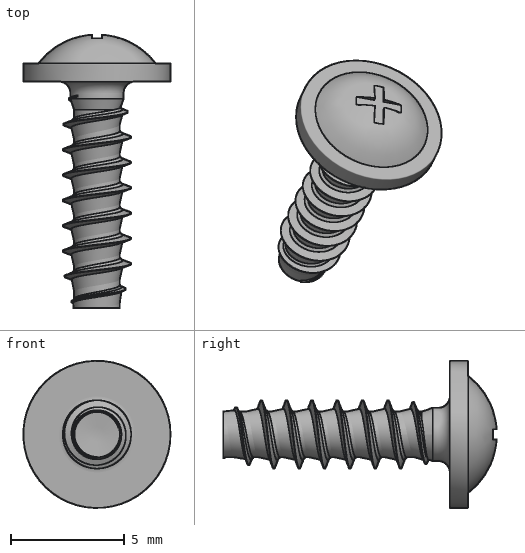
import cadquery as cq
import math


total_length = 12.07
flange_diameter = 6.5
flange_thickness = 0.81
flange_edge_radius = 0.05
dome_height = 1.27
dome_radius = 3.26
slot_width = 0.43
slot_depth = 0.16
slot_corner_radius = slot_width / math.sqrt(2)
apex_height = dome_height + dome_radius - math.sqrt(dome_radius**2 - slot_corner_radius**2)

neck_radius = 1.18
neck_end = 0.75
neck_fillet = 0.5
taper_end = 1.23
core_radius = 1.01
tip_hollow_depth = 0.08
shank_length = total_length - flange_thickness - dome_height

thread_start = 0.63
thread_end = shank_length
thread_turns = 8.375
pitch = (thread_end - thread_start) / thread_turns
thread_start_angle = 135.0
run_in_turns = 1.2
run_out_turns = 1.5
full_turns = thread_turns - run_in_turns - run_out_turns
buried_depth = 0.02
buried_radius = core_radius - buried_depth


def ridge_section(crest_radius, crest_half_width, base_radius, base_half_width, foot_length, groove_length):
    """Ridge outline from the head side to the tip side, as (axial distance from the crest, radius).

    A short steep foot leads up to the head-side flank. A long shallow slope leads down from the tip-side
    flank. Both end just below the core surface.
    """
    return [
        (-base_half_width - foot_length, buried_radius),
        (-base_half_width, base_radius),
        (-crest_half_width, crest_radius),
        (crest_half_width, crest_radius),
        (base_half_width, base_radius),
        (groove_length, buried_radius),
    ]


thread_radius = 1.51
full_section = ridge_section(
    crest_radius=thread_radius,
    crest_half_width=0.01,
    base_radius=1.13,
    base_half_width=0.15,
    foot_length=0.15,
    groove_length=0.78,
)
run_in_section = ridge_section(
    crest_radius=1.22,
    crest_half_width=0.01,
    base_radius=1.13,
    base_half_width=0.06,
    foot_length=0.11,
    groove_length=0.48,
)
run_out_section = ridge_section(
    crest_radius=1.05,
    crest_half_width=0.01,
    base_radius=1.04,
    base_half_width=0.04,
    foot_length=0.11,
    groove_length=0.78,
)


def make_head_and_shank():
    flange_radius = flange_diameter / 2
    flange_top = -flange_thickness
    dome_top = flange_top - apex_height
    dome_center = dome_top + dome_radius
    dome_base_radius = math.sqrt(dome_radius**2 - (dome_center - flange_top) ** 2)
    arc_mid_angle = math.asin(dome_base_radius / dome_radius) / 2
    dome_mid = (
        dome_radius * math.sin(arc_mid_angle),
        dome_center - dome_radius * math.cos(arc_mid_angle),
    )
    edge = flange_edge_radius
    midpoint_factor = 1 - math.sqrt(0.5)
    fillet_mid = neck_fillet * midpoint_factor
    edge_mid = edge * midpoint_factor
    profile = (
        cq.Workplane("XZ")
        .moveTo(0, dome_top)
        .threePointArc(dome_mid, (dome_base_radius, flange_top))
        .lineTo(flange_radius - edge, flange_top)
        .threePointArc(
            (flange_radius - edge_mid, flange_top + edge_mid), (flange_radius, flange_top + edge)
        )
        .lineTo(flange_radius, -edge)
        .threePointArc((flange_radius - edge_mid, -edge_mid), (flange_radius - edge, 0))
        .lineTo(neck_radius + neck_fillet, 0)
        .threePointArc((neck_radius + fillet_mid, fillet_mid), (neck_radius, neck_fillet))
        .lineTo(neck_radius, neck_end)
        .lineTo(core_radius, taper_end)
        .lineTo(core_radius, shank_length)
        .lineTo(0, shank_length - tip_hollow_depth)
        .close()
    )
    return profile.revolve(360, (0, 0), (0, 1))


def helix_edge(start_point, end_point, turns):
    """Helix from one section point to the matching point of another, on a cone if their radii differ."""
    start_offset, start_radius = start_point
    end_offset, end_radius = end_point
    rise = turns * pitch + end_offset - start_offset
    growth = end_radius - start_radius
    if growth == 0:
        helix = cq.Wire.makeHelix(rise / turns, rise, start_radius)
    else:
        slant = math.hypot(rise, growth)
        cone_angle = math.degrees(math.atan2(growth, rise))
        helix = cq.Wire.makeHelix(slant / turns, slant, start_radius, angle=cone_angle)
    return helix.translate(cq.Vector(0, 0, start_offset)).Edges()[0]


def thread_stage(start_section, end_section, turns):
    """Helical faces carrying one section into another, from angle 0 and height 0."""
    edges = [helix_edge(start, end, turns) for start, end in zip(start_section, end_section)]
    return [cq.Face.makeRuledSurface(edges[i - 1], edges[i]) for i in range(len(edges))]


def end_cap(section):
    points = [cq.Vector(radius, 0, offset) for offset, radius in section]
    return cq.Face.makeFromWires(cq.Wire.makePolygon(points, close=True))


def place_on_thread(faces, turns):
    """Move faces from angle 0 and height 0 to a point along the thread."""
    shift = cq.Vector(0, 0, thread_start + turns * pitch)
    angle = thread_start_angle + turns * 360
    return [face.rotate(cq.Vector(0, 0, 0), cq.Vector(0, 0, 1), angle).translate(shift) for face in faces]


def make_thread():
    run_in = thread_stage(run_in_section, full_section, run_in_turns)
    full_height = thread_stage(full_section, full_section, full_turns)
    run_out = thread_stage(full_section, run_out_section, run_out_turns)

    faces = place_on_thread([end_cap(run_in_section)] + run_in, 0)
    faces += place_on_thread(full_height, run_in_turns)
    faces += place_on_thread(run_out, run_in_turns + full_turns)
    faces += place_on_thread([end_cap(run_out_section)], thread_turns)
    return cq.Workplane(cq.Solid.makeSolid(cq.Shell.makeShell(faces)))


screw = make_head_and_shank().union(make_thread())

tip_trim = cq.Workplane("XY", origin=(0, 0, shank_length)).circle(2 * thread_radius).extrude(pitch)
screw = screw.cut(tip_trim)

slot_floor = cq.Workplane("XY", origin=(0, 0, slot_depth - flange_thickness - dome_height))
for slot_size in ((flange_diameter, slot_width), (slot_width, flange_diameter)):
    screw = screw.cut(slot_floor.rect(*slot_size).extrude(-dome_height))

result = screw.rotate((0, 0, 0), (1, 0, 0), 90).solids()